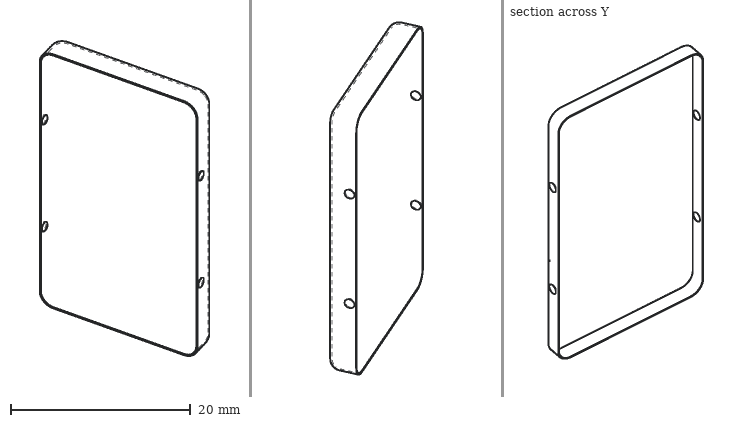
import cadquery as cq
import math

width = 20.4
depth = 3.5
height = 35.7
wall = 0.2
corner_radius = 1.8
rim_radius = 1.2

dimple_diameter = 1.18
dimple_depth = 0.25
dimple_from_open_face = 0.8
dimple_spacing = 15.0


def rounded_block(inset):
    """Block inset from the outer shell, with rounded corners and a rounded +Y rim."""
    block_depth = depth - inset
    return (
        cq.Workplane("XZ")
        .rect(width - 2 * inset, height - 2 * inset)
        .extrude(-block_depth)
        .edges("|Y")
        .fillet(corner_radius - inset)
        .faces(">Y")
        .edges()
        .fillet(rim_radius - inset)
    )


def spherical_cap(base_x, z):
    """Cap rising toward -X from its flat base in the plane X = base_x."""
    half_chord = dimple_diameter / 2
    sphere_radius = (half_chord**2 + dimple_depth**2) / (2 * dimple_depth)
    arc_mid_angle = math.asin(half_chord / sphere_radius) / 2
    arc_mid = (
        sphere_radius * (1 - math.cos(arc_mid_angle)) - dimple_depth,
        sphere_radius * math.sin(arc_mid_angle),
    )
    return (
        cq.Workplane("XY")
        .moveTo(0, 0)
        .lineTo(0, half_chord)
        .threePointArc(arc_mid, (-dimple_depth, 0))
        .close()
        .revolve(360, (0, 0, 0), (1, 0, 0))
        .translate((base_x, dimple_from_open_face, z))
    )


result = rounded_block(0).cut(rounded_block(wall))

outer_x = width / 2
inner_x = outer_x - wall
for z in (-dimple_spacing / 2, dimple_spacing / 2):
    inner_bump = spherical_cap(inner_x, z)
    outer_dimple = spherical_cap(outer_x, z)
    result = result.union(inner_bump).union(inner_bump.mirror("YZ"))
    result = result.cut(outer_dimple).cut(outer_dimple.mirror("YZ"))